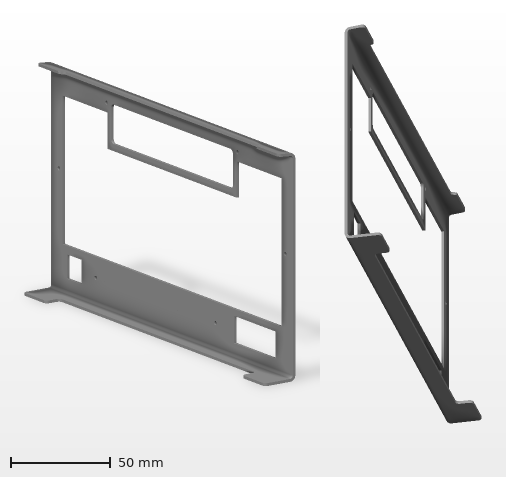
import cadquery as cq
import math


WIDTH = 211.5
HEIGHT = 119.0
THICKNESS = 1.5
BEND_OUTER_RADIUS = 3.0
BEND_INNER_RADIUS = BEND_OUTER_RADIUS - THICKNESS
CORNER_RADIUS = 2.0

BOTTOM_REACH = 18.6
BOTTOM_MID_REACH = 10.2
TOP_LENGTH = 10.4
TOP_RELIEF_DEPTH = 2.7
TOP_TILT = 5.0
END_TAB_WIDTH = 20.0

WINDOW_WIDTH = 191.6
WINDOW_BOTTOM = 26.0
WINDOW_TOP = 103.0
TONGUE_WIDTH = 113.0
TONGUE_BOTTOM = 84.2

DISPLAY_WIDTH = 106.4
DISPLAY_BOTTOM = 87.8
DISPLAY_TOP = 108.3
DISPLAY_CORNER_RADIUS = 2.0

SQUARE_OPENING = (-92.0, -79.0, 8.9, 21.5)
WIDE_OPENING = (54.4, 90.5, 8.2, 22.5)

HOLE_DIAMETER = 2.1
DISPLAY_HOLE_X = 57.3
DISPLAY_HOLE_Z = 107.9
SIDE_HOLE_X = 99.2
SIDE_HOLE_Z = 64.5
LOWER_HOLE_LEFT_X = -66.8
LOWER_HOLE_RIGHT_X = 38.0
LOWER_HOLE_Z = 15.0
HOLE_CENTERS = [
    (-DISPLAY_HOLE_X, DISPLAY_HOLE_Z),
    (DISPLAY_HOLE_X, DISPLAY_HOLE_Z),
    (-SIDE_HOLE_X, SIDE_HOLE_Z),
    (SIDE_HOLE_X, SIDE_HOLE_Z),
    (LOWER_HOLE_LEFT_X, LOWER_HOLE_Z),
    (LOWER_HOLE_RIGHT_X, LOWER_HOLE_Z),
]

TILT = math.radians(TOP_TILT)
TOP_CORNER_Z = HEIGHT - TOP_LENGTH * math.sin(TILT)
HALF_WIDTH = WIDTH / 2
NOTCH_HALF_WIDTH = HALF_WIDTH - END_TAB_WIDTH


def folded_sheet():
    """Constant cross-section of web and flanges, swept along X, with round bends."""
    tip_y = -TOP_LENGTH * math.cos(TILT)
    inner_tip_y = tip_y + THICKNESS * math.sin(TILT)
    inner_tip_z = HEIGHT - THICKNESS * math.cos(TILT)
    inner_corner_z = TOP_CORNER_Z + THICKNESS * math.tan(TILT) - THICKNESS / math.cos(TILT)
    outer_corners = [(0, 0), (0, TOP_CORNER_Z)]
    inner_corners = [(-THICKNESS, inner_corner_z), (-THICKNESS, THICKNESS)]
    sheet = (
        cq.Workplane("YZ")
        .polyline(
            outer_corners
            + [(tip_y, HEIGHT), (inner_tip_y, inner_tip_z)]
            + inner_corners
            + [(-BOTTOM_REACH, THICKNESS), (-BOTTOM_REACH, 0)]
        )
        .close()
        .extrude(HALF_WIDTH, both=True)
    )
    for corners, radius in ((outer_corners, BEND_OUTER_RADIUS), (inner_corners, BEND_INNER_RADIUS)):
        for y, z in corners:
            sheet = sheet.edges(cq.NearestToPointSelector((0, y, z))).fillet(radius)
    return sheet


def web_opening(left, right, bottom, top):
    """Rectangular cutter that passes through the web."""
    return (
        cq.Workplane("XZ")
        .center((left + right) / 2, (bottom + top) / 2)
        .rect(right - left, top - bottom)
        .extrude(2 * THICKNESS, both=True)
    )


def main_window():
    window = web_opening(-WINDOW_WIDTH / 2, WINDOW_WIDTH / 2, WINDOW_BOTTOM, WINDOW_TOP)
    tongue = web_opening(-TONGUE_WIDTH / 2, TONGUE_WIDTH / 2, TONGUE_BOTTOM, WINDOW_TOP)
    return window.cut(tongue)


def display_opening():
    opening = web_opening(-DISPLAY_WIDTH / 2, DISPLAY_WIDTH / 2, DISPLAY_BOTTOM, DISPLAY_TOP)
    return opening.edges("|Y").fillet(DISPLAY_CORNER_RADIUS)


def screw_holes():
    return (
        cq.Workplane("XZ")
        .pushPoints(HOLE_CENTERS)
        .circle(HOLE_DIAMETER / 2)
        .extrude(2 * THICKNESS, both=True)
    )


def bottom_notch():
    """Cutter between the feet, rounded where it meets the set-back middle edge."""
    notch = (
        cq.Workplane("XY")
        .rect(2 * NOTCH_HALF_WIDTH, 2 * (BOTTOM_REACH - BOTTOM_MID_REACH))
        .extrude(THICKNESS)
        .edges("|Z")
        .fillet(CORNER_RADIUS)
    )
    return notch.translate((0, -BOTTOM_REACH, 0))


def top_relief():
    """Cutter for the middle of the top flange; each end is an S of two tangent arcs."""
    turn = math.acos(1 - TOP_RELIEF_DEPTH / (2 * CORNER_RADIUS))
    half_run = CORNER_RADIUS * math.sin(turn)
    mid_run = CORNER_RADIUS * math.sin(turn / 2)
    mid_rise = CORNER_RADIUS * (1 - math.cos(turn / 2))
    tip = -TOP_LENGTH
    back = tip + TOP_RELIEF_DEPTH
    middle = (tip + back) / 2
    start = NOTCH_HALF_WIDTH + half_run
    end = NOTCH_HALF_WIDTH - half_run
    beyond_tip = tip - CORNER_RADIUS
    flat = (
        cq.Workplane("XY")
        .moveTo(-start, beyond_tip)
        .lineTo(-start, tip)
        .threePointArc((-start + mid_run, tip + mid_rise), (-NOTCH_HALF_WIDTH, middle))
        .threePointArc((-end - mid_run, back - mid_rise), (-end, back))
        .lineTo(end, back)
        .threePointArc((end + mid_run, back - mid_rise), (NOTCH_HALF_WIDTH, middle))
        .threePointArc((start - mid_run, tip + mid_rise), (start, tip))
        .lineTo(start, beyond_tip)
        .close()
        .extrude(2 * THICKNESS, both=True)
    )
    return flat.rotate((0, 0, 0), (1, 0, 0), -TOP_TILT).translate((0, 0, TOP_CORNER_Z))


def round_flange_corners(sheet):
    """Round the outer corners of the top flange and all four corners of the feet."""
    top_tip_y = -TOP_LENGTH * math.cos(TILT)
    corners = []
    for side in (-1, 1):
        corners.append((side * HALF_WIDTH, top_tip_y, HEIGHT - THICKNESS / 2))
        corners.append((side * HALF_WIDTH, -BOTTOM_REACH, THICKNESS / 2))
        corners.append((side * NOTCH_HALF_WIDTH, -BOTTOM_REACH, THICKNESS / 2))
    for corner in corners:
        sheet = sheet.edges(cq.NearestToPointSelector(corner)).fillet(CORNER_RADIUS)
    return sheet


panel = folded_sheet().cut(bottom_notch()).cut(top_relief())
panel = round_flange_corners(panel)
for cutter in (
    main_window(),
    display_opening(),
    web_opening(*SQUARE_OPENING),
    web_opening(*WIDE_OPENING),
    screw_holes(),
):
    panel = panel.cut(cutter)

result = panel